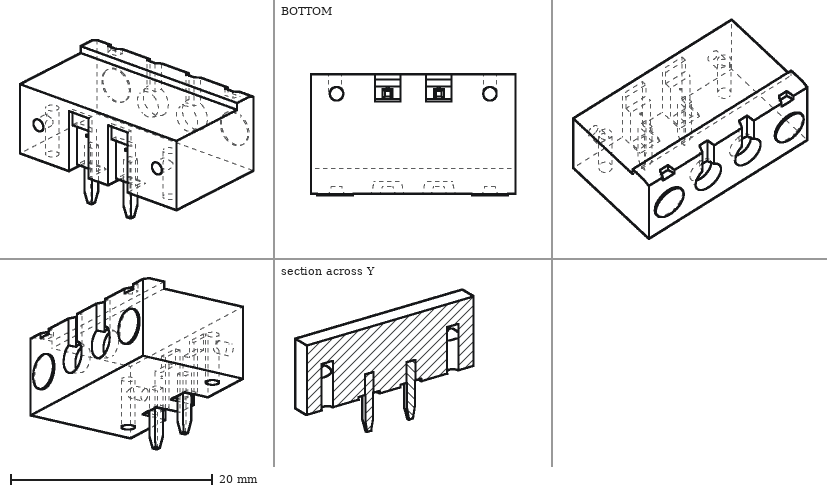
import cadquery as cq
import math


width = 20.32
depth = 11.9
height = 8.4
pitch = 5.08
ridge_height = 0.75
ridge_depth = 2.55
ridge_chamfer_depth = 0.75
ridge_chamfer_drop = 0.25
body_height = height - ridge_height

axis_height = 3.85
pin_centres = (-pitch / 2, pitch / 2)
flange_centres = (-1.5 * pitch, 1.5 * pitch)

pocket_width = 2.55
pocket_height = 6.62
pocket_depth = 0.53
deep_pocket_height = 4.9
deep_pocket_depth = 1.25
dimple_diameter = 0.22
dimple_depth = 0.1

pin_thickness = 1.0
pin_front = 1.46
pin_centre_y = pin_front + pin_thickness / 2
pin_length = 3.8
pin_taper_length = 1.28
pin_tip_thickness = 0.53
pin_embedded_length = 2.55

relief_height = 0.28
relief_slope_start = pin_front + pin_thickness
relief_slope_length = relief_height

left_screw_shift = 0.15
screw_centres = (flange_centres[0] - left_screw_shift, flange_centres[1])
screw_hole_diameter = 1.28
boss_diameter = 3.58
boss_thickness = 0.18

mounting_hole_diameter = 1.35
mounting_hole_depth = 5.08

notch_front_width = 1.02
notch_rear_width = 1.5
notch_front = depth - ridge_chamfer_depth

funnel_diameter = 3.25
funnel_end_diameter = 2.72
funnel_depth = 1.22


def housing_block():
    """Side profile of block and ridge, extruded across the width."""
    profile = [
        (0, 0),
        (depth, 0),
        (depth, height - ridge_chamfer_drop),
        (depth - ridge_chamfer_depth, height),
        (depth - ridge_depth, height),
        (depth - ridge_depth, body_height),
        (0, body_height),
    ]
    return cq.Workplane("YZ").polyline(profile).close().extrude(width / 2, both=True)


def front_pocket(x):
    """Stepped pocket that runs out below into the relief around the pin."""
    profile = [
        (0, 0),
        (relief_slope_start + relief_slope_length, 0),
        (relief_slope_start, relief_height),
        (deep_pocket_depth, relief_height),
        (deep_pocket_depth, deep_pocket_height),
        (pocket_depth, deep_pocket_height),
        (pocket_depth, pocket_height),
        (0, pocket_height),
    ]
    pocket = cq.Workplane("YZ").polyline(profile).close().extrude(pocket_width / 2, both=True)
    return pocket.translate((x, 0, 0))


def cylinder_along_y(x, start, length, diameter):
    """Cylinder at the axis height, running in +Y from start."""
    base = cq.Vector(x, start, axis_height)
    return cq.Workplane(cq.Solid.makeCylinder(diameter / 2, length, base, cq.Vector(0, 1, 0)))


def mounting_hole(x):
    """Upright blind hole, level with the pins in Y."""
    return (
        cq.Workplane("XY")
        .center(x, pin_centre_y)
        .circle(mounting_hole_diameter / 2)
        .extrude(mounting_hole_depth)
    )


def ridge_notch(x, floor_height):
    """Upright notch through the chamfered rear edge of the ridge, down to floor_height."""
    outline = [
        (x - notch_front_width / 2, notch_front),
        (x + notch_front_width / 2, notch_front),
        (x + notch_rear_width / 2, depth),
        (x - notch_rear_width / 2, depth),
    ]
    return (
        cq.Workplane("XY", origin=(0, 0, floor_height))
        .polyline(outline)
        .close()
        .extrude(height - floor_height)
    )


def wire_entry(x):
    """Blind funnel in the rear face."""
    base = cq.Vector(x, depth - funnel_depth, axis_height)
    funnel = cq.Solid.makeCone(
        funnel_end_diameter / 2, funnel_diameter / 2, funnel_depth, base, cq.Vector(0, 1, 0)
    )
    return cq.Workplane(funnel)


def make_pin(x):
    """Square pin with a tapered lower end."""
    shank_bottom = pin_taper_length - pin_length
    shank = (
        cq.Workplane("XY", origin=(x, pin_centre_y, shank_bottom))
        .rect(pin_thickness, pin_thickness)
        .extrude(pin_embedded_length - shank_bottom)
    )
    taper_angle = math.degrees(math.atan2((pin_thickness - pin_tip_thickness) / 2, pin_taper_length))
    tip = (
        cq.Workplane("XY", origin=(x, pin_centre_y, shank_bottom))
        .rect(pin_thickness, pin_thickness)
        .extrude(-pin_taper_length, taper=taper_angle)
    )
    return shank.union(tip)


def make_housing(pins):
    housing = housing_block()
    for x in screw_centres:
        housing = housing.union(cylinder_along_y(x, depth, boss_thickness, boss_diameter))
        housing = housing.cut(cylinder_along_y(x, 0, pin_centre_y, screw_hole_diameter))
    for x in flange_centres:
        housing = housing.cut(mounting_hole(x))
        housing = housing.cut(ridge_notch(x, body_height))
    for x in pin_centres:
        housing = housing.cut(front_pocket(x))
        housing = housing.cut(cylinder_along_y(x, deep_pocket_depth, dimple_depth, dimple_diameter))
        housing = housing.cut(ridge_notch(x, axis_height))
        housing = housing.cut(wire_entry(x))
    for pin in pins:
        housing = housing.cut(pin)
    return housing


pins = [make_pin(x) for x in pin_centres]
housing = make_housing(pins)

result = cq.Compound.makeCompound([housing.val(), *[pin.val() for pin in pins]])